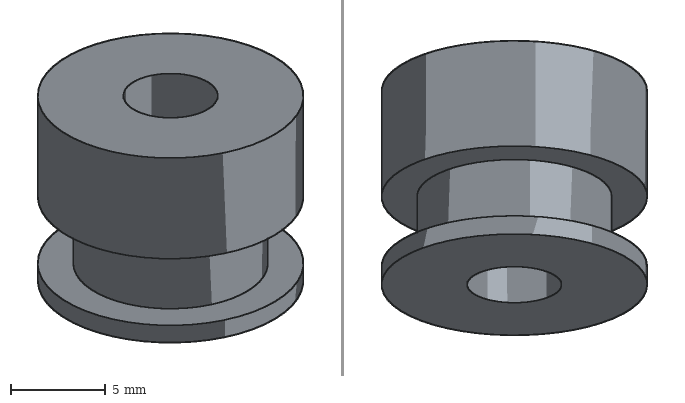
import cadquery as cq

outer_diameter = 14.1
groove_diameter = 10.34
bore_diameter = 5.0
total_height = 11.1
flange_height = 1.05
groove_height = 4.0
head_height = total_height - flange_height - groove_height


def add_disc(body, diameter, height):
    """Stack a coaxial disc on top of the body."""
    return body.faces(">Z").workplane().circle(diameter / 2).extrude(height)


flange = cq.Workplane("XY").circle(outer_diameter / 2).extrude(flange_height)
core = add_disc(flange, groove_diameter, groove_height)
spool = add_disc(core, outer_diameter, head_height)

result = spool.faces(">Z").workplane().hole(bore_diameter)